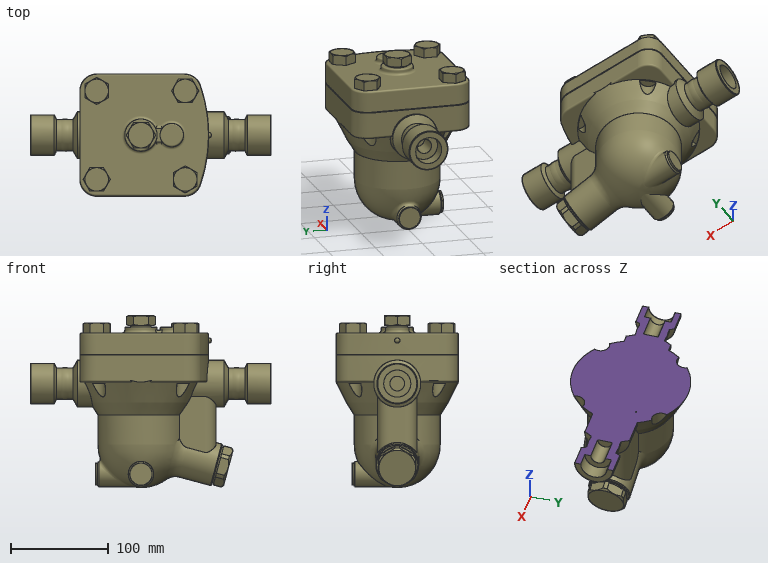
import cadquery as cq
import math


FLANGE_WIDTH = 125.0
FLANGE_HALF = FLANGE_WIDTH / 2
FLANGE_NOSE_X = 69.2
FLANGE_NOSE_RADIUS = 156.0
FLANGE_CORNER_RADIUS = 17.5
FLANGE_BOTTOM_Z = 1.4
FLANGE_EDGE_RADIUS = 2.0
GASKET_BOTTOM_Z = 29.1
GASKET_THICKNESS = 0.8
GASKET_INSET = 0.2
COVER_BOTTOM_Z = GASKET_BOTTOM_Z + GASKET_THICKNESS
COVER_TOP_Z = 51.7

POT_RADIUS = 44.0
POT_BOTTOM_Z = -106.3
DOME_CENTER_Z = POT_BOTTOM_Z + POT_RADIUS
CONE_BOTTOM_Z = -32.0
CONE_KINK_Z = -19.7
CONE_KINK_RADIUS = 51.8
CONE_TOP_Z = FLANGE_BOTTOM_Z + FLANGE_EDGE_RADIUS
CONE_TOP_RADIUS = 63.4

BOLT_PITCH = 90.4
BOLT_FLATS = 24.0
BOLT_TOP_Z = 62.0
SPOTFACE_RADIUS = 9.0
SPOTFACE_TOP_Z = 0.3
SPOTFACE_BOTTOM_Z = -30.0

COVER_BOSS_TOP_Z = 57.8
COVER_BOSS_BASE_FILLET = 3.0
COVER_BOSS_EDGE_RADIUS = 1.5
MAIN_BOSS_RADIUS = 33.0 / 2
SIDE_BOSS_RADIUS = 24.0 / 2
SIDE_BOSS_X = 31.5
BRIDGE_HALF_WIDTH = 7.0
PLUG_FLATS = 26.0
PLUG_TOP_Z = 69.4
PLUG_HEAD_HEIGHT = 10.1
PLUG_NECK_RADIUS = 21.0 / 2
HEX_HALF_ANGLE = math.radians(30)
HEX_CHAMFER_ANGLE = math.radians(30)

PIN_RADIUS = 2.7
PIN_Z = 44.0
PIN_TIP_X = 71.9
PIN_TIP_RADIUS = 2.4

PIPE_MIDDLE_X = 10.0
PIPE_HALF_LENGTH = 123.0
SOCKET_RADIUS = 41.5 / 2
SOCKET_EDGE = 0.8
SOCKET_SHOULDER = 98.6
SOCKET_NECK = 96.2
NECK_RADIUS = 32.0 / 2
RIDGE_RADIUS = 33.0 / 2
RIDGE_OUTER = 90.7
RIDGE_INNER = 84.0
BOSS_NECK = 79.4
BOSS_SHOULDER = 74.8
PIPE_BOSS_RADIUS = 48.0 / 2
SOCKET_BORE_RADIUS = 27.7 / 2
SOCKET_BORE_DEPTH = 15.0
PIPE_BORE_RADIUS = 15.0 / 2
PIPE_BORE_DEPTH = 40.0

RIB_END_X = 76.9
RIB_HALF_WIDTH = 20.0
RIB_CORNER_RADIUS = 12.0
RIB_BOTTOM_Z = -80.0

BRANCH_TILT_DEGREES = 15.0
BRANCH_RADIUS = 44.0 / 2
BRANCH_LENGTH = 80.4
BRANCH_EDGE = 1.0
BRANCH_FILLET = 16.0
CAP_SEAT_RADIUS = 38.0 / 2
CAP_BASE = 82.0
CAP_END = 92.4
CAP_FLATS = 38.0
CAP_TURNED_RADIUS = 41.5 / 2
CAP_CHAMFER = 2.0

DRAIN_Z = -92.5
DRAIN_RADIUS = 26.0 / 2
DRAIN_SHOULDER = 44.4
DRAIN_CHAMFER = 1.5
DRAIN_PLUG_RADIUS = 22.6 / 2
DRAIN_END = 46.2
DRAIN_FILLET = 3.0


def cylinder_z(radius, bottom, top, x=0.0, y=0.0):
    return cq.Workplane("XY").workplane(offset=bottom).center(x, y).circle(radius).extrude(top - bottom)


def flange_slab(bottom, top, inset=0.0):
    half = FLANGE_HALF - inset
    nose_radius = FLANGE_NOSE_RADIUS - inset
    nose_center_x = FLANGE_NOSE_X - FLANGE_NOSE_RADIUS
    corner_x = nose_center_x + math.sqrt(nose_radius**2 - half**2)
    outline = (
        cq.Workplane("XY")
        .workplane(offset=bottom)
        .moveTo(corner_x, -half)
        .threePointArc((FLANGE_NOSE_X - inset, 0), (corner_x, half))
        .lineTo(-half, half)
        .lineTo(-half, -half)
        .close()
    )
    return outline.extrude(top - bottom).edges("|Z").fillet(FLANGE_CORNER_RADIUS - inset)


def make_flanges():
    body = flange_slab(FLANGE_BOTTOM_Z, GASKET_BOTTOM_Z)
    body = body.faces("<Z").edges().fillet(FLANGE_EDGE_RADIUS)
    gasket = flange_slab(GASKET_BOTTOM_Z, COVER_BOTTOM_Z, GASKET_INSET)
    cover = flange_slab(COVER_BOTTOM_Z, COVER_TOP_Z)
    cover = cover.faces(">Z").edges().fillet(FLANGE_EDGE_RADIUS)
    return body.union(gasket).union(cover)


def make_pot():
    dome_side = POT_RADIUS * math.sqrt(0.5)
    profile = (
        cq.Workplane("XZ")
        .moveTo(0, POT_BOTTOM_Z)
        .threePointArc((dome_side, DOME_CENTER_Z - dome_side), (POT_RADIUS, DOME_CENTER_Z))
        .lineTo(POT_RADIUS, CONE_BOTTOM_Z)
        .lineTo(CONE_KINK_RADIUS, CONE_KINK_Z)
        .lineTo(CONE_TOP_RADIUS, CONE_TOP_Z)
        .lineTo(0, CONE_TOP_Z)
        .close()
    )
    pot = profile.revolve(360, (0, 0, 0), (0, 1, 0))
    return pot.intersect(flange_slab(POT_BOTTOM_Z, CONE_TOP_Z))


def bolt_places():
    half = BOLT_PITCH / 2
    return [(x, y) for x in (-half, half) for y in (-half, half)]


def cut_spotfaces(pot):
    for x, y in bolt_places():
        pot = pot.cut(cylinder_z(SPOTFACE_RADIUS, SPOTFACE_BOTTOM_Z, SPOTFACE_TOP_Z, x, y))
    return pot


def hex_head(flats, bottom, top, chamfer_bottom):
    """Hexagon head with its corners on X, its corner tips turned to a cone."""
    corner = flats / 2 / math.cos(HEX_HALF_ANGLE)
    tip = corner - flats / 2
    drop = tip * math.tan(HEX_CHAMFER_ANGLE)
    start = flats / 2 if chamfer_bottom else corner
    turned = (
        cq.Workplane("XZ")
        .moveTo(0, bottom)
        .lineTo(start, bottom)
        .lineTo(corner, bottom + drop)
        .lineTo(corner, top - drop)
        .lineTo(flats / 2, top)
        .lineTo(0, top)
        .close()
        .revolve(360, (0, 0, 0), (0, 1, 0))
    )
    prism = cq.Workplane("XY").workplane(offset=bottom).polygon(6, 2 * corner).extrude(top - bottom)
    return prism.intersect(turned)


def make_bolts():
    head = hex_head(BOLT_FLATS, COVER_TOP_Z, BOLT_TOP_Z, False)
    bolts = cq.Workplane("XY")
    for x, y in bolt_places():
        turn = 90 if x * y < 0 else 0
        bolts = bolts.add(head.rotate((0, 0, 0), (0, 0, 1), turn).translate((x, y, 0)))
    return bolts.combine()


def make_cover_boss(radius, x):
    """Round boss with a fillet at its base and a rounded top edge."""
    boss = cylinder_z(radius, COVER_TOP_Z, COVER_BOSS_TOP_Z, x)
    boss = boss.faces(">Z").edges().fillet(COVER_BOSS_EDGE_RADIUS)
    fillet = COVER_BOSS_BASE_FILLET
    dip = fillet * (1 - math.sqrt(0.5))
    flare = (
        cq.Workplane("XZ")
        .moveTo(0, COVER_TOP_Z)
        .lineTo(radius + fillet, COVER_TOP_Z)
        .threePointArc((radius + dip, COVER_TOP_Z + dip), (radius, COVER_TOP_Z + fillet))
        .lineTo(0, COVER_TOP_Z + fillet)
        .close()
        .revolve(360, (0, 0, 0), (0, 1, 0))
        .translate((x, 0, 0))
    )
    return boss.union(flare)


def make_bridge():
    """Low web between the two cover bosses, flared at its base like them."""
    fillet = COVER_BOSS_BASE_FILLET
    dip = fillet * (1 - math.sqrt(0.5))
    top = COVER_TOP_Z + fillet
    foot = BRIDGE_HALF_WIDTH + fillet
    return (
        cq.Workplane("YZ")
        .moveTo(-foot, COVER_TOP_Z)
        .threePointArc((-BRIDGE_HALF_WIDTH - dip, COVER_TOP_Z + dip), (-BRIDGE_HALF_WIDTH, top))
        .lineTo(BRIDGE_HALF_WIDTH, top)
        .threePointArc((BRIDGE_HALF_WIDTH + dip, COVER_TOP_Z + dip), (foot, COVER_TOP_Z))
        .close()
        .extrude(SIDE_BOSS_X)
    )


def make_cover_plug():
    head_bottom = PLUG_TOP_Z - PLUG_HEAD_HEIGHT
    neck = cylinder_z(PLUG_NECK_RADIUS, COVER_BOSS_TOP_Z, head_bottom)
    return neck.union(hex_head(PLUG_FLATS, head_bottom, PLUG_TOP_Z, True))


def make_pin():
    pin = cq.Workplane("YZ").center(0, PIN_Z).circle(PIN_RADIUS).extrude(PIN_TIP_X)
    return pin.faces(">X").edges().fillet(PIN_TIP_RADIUS)


def make_pipe_end():
    """Right-hand half of the pipe run, starting from its middle at X = 0."""
    ridge_middle = (RIDGE_OUTER + RIDGE_INNER) / 2
    profile = (
        cq.Workplane("XY")
        .lineTo(0, PIPE_BOSS_RADIUS)
        .lineTo(BOSS_SHOULDER, PIPE_BOSS_RADIUS)
        .lineTo(BOSS_NECK, NECK_RADIUS)
        .lineTo(RIDGE_INNER, NECK_RADIUS)
        .threePointArc((ridge_middle, RIDGE_RADIUS), (RIDGE_OUTER, NECK_RADIUS))
        .lineTo(SOCKET_NECK, NECK_RADIUS)
        .lineTo(SOCKET_SHOULDER, SOCKET_RADIUS)
        .lineTo(PIPE_HALF_LENGTH - SOCKET_EDGE, SOCKET_RADIUS)
        .lineTo(PIPE_HALF_LENGTH, SOCKET_RADIUS - SOCKET_EDGE)
        .lineTo(PIPE_HALF_LENGTH, 0)
        .close()
    )
    return profile.revolve(360, (0, 0, 0), (1, 0, 0))


def make_pipe_bore():
    end_plane = cq.Workplane("YZ").workplane(offset=PIPE_HALF_LENGTH)
    socket = end_plane.circle(SOCKET_BORE_RADIUS).extrude(-SOCKET_BORE_DEPTH)
    return socket.union(end_plane.circle(PIPE_BORE_RADIUS).extrude(-PIPE_BORE_DEPTH))


def on_both_ends(right_end):
    pair = right_end.union(right_end.mirror("YZ"))
    return pair.translate((PIPE_MIDDLE_X, 0, 0))


def make_rib():
    rib = cq.Workplane("XY").workplane(offset=RIB_BOTTOM_Z)
    rib = rib.center(RIB_END_X / 2, 0).rect(RIB_END_X, 2 * RIB_HALF_WIDTH).extrude(-RIB_BOTTOM_Z)
    return rib.edges("|Z and >X").fillet(RIB_CORNER_RADIUS)


def make_branch():
    """Branch along +X from the origin, then tilted down about the Y axis and set on the dome centre."""
    fillet_center_r = BRANCH_RADIUS + BRANCH_FILLET
    fillet_center_x = math.sqrt((POT_RADIUS + BRANCH_FILLET) ** 2 - fillet_center_r**2)
    dome_share = POT_RADIUS / (POT_RADIUS + BRANCH_FILLET)
    dome_angle = math.atan2(fillet_center_r, fillet_center_x)
    middle_angle = (dome_angle + math.pi / 2) / 2
    fillet_middle = (
        fillet_center_x - BRANCH_FILLET * math.cos(middle_angle),
        fillet_center_r - BRANCH_FILLET * math.sin(middle_angle),
    )
    stem = (
        cq.Workplane("XY")
        .lineTo(fillet_center_x * dome_share, fillet_center_r * dome_share)
        .threePointArc(fillet_middle, (fillet_center_x, BRANCH_RADIUS))
        .lineTo(BRANCH_LENGTH - BRANCH_EDGE, BRANCH_RADIUS)
        .lineTo(BRANCH_LENGTH, BRANCH_RADIUS - BRANCH_EDGE)
        .lineTo(BRANCH_LENGTH, CAP_SEAT_RADIUS)
        .lineTo(CAP_BASE, CAP_SEAT_RADIUS)
        .lineTo(CAP_BASE, 0)
        .close()
        .revolve(360, (0, 0, 0), (1, 0, 0))
    )
    cap_corner = CAP_FLATS / math.cos(HEX_HALF_ANGLE)
    cap_plane = cq.Workplane("YZ").workplane(offset=CAP_BASE)
    cap = cap_plane.polygon(6, cap_corner).extrude(CAP_END - CAP_BASE)
    cap = cap.rotate((0, 0, 0), (1, 0, 0), 90)
    turned = cap_plane.circle(CAP_TURNED_RADIUS).extrude(CAP_END - CAP_BASE)
    turned = turned.faces(">X").chamfer(CAP_CHAMFER)
    branch = stem.union(cap.intersect(turned))
    return branch.rotate((0, 0, 0), (0, 1, 0), BRANCH_TILT_DEGREES).translate((0, 0, DOME_CENTER_Z))


def make_drain():
    """Drain boss along -X from the pot axis, closed by a plug."""
    start = cq.Workplane("YZ").center(0, DRAIN_Z)
    boss = start.circle(DRAIN_RADIUS).extrude(-DRAIN_SHOULDER)
    boss = boss.faces("<X").chamfer(DRAIN_CHAMFER)
    return boss.union(start.circle(DRAIN_PLUG_RADIUS).extrude(-DRAIN_END))


def add_drains(pot):
    """One drain points to -X and is filleted to the dome; the other points to -Y."""
    drain = make_drain()
    pot = pot.union(drain)
    pot = pot.edges("%BSPLINE").fillet(DRAIN_FILLET)
    return pot.union(drain.rotate((0, 0, 0), (0, 0, 1), 90))


def make_body():
    body = cut_spotfaces(add_drains(make_pot()))
    body = body.union(make_branch())
    body = body.union(make_rib())
    body = body.union(make_flanges())
    body = body.union(on_both_ends(make_pipe_end()))
    return body.cut(on_both_ends(make_pipe_bore()))


def make_cover_fittings():
    """Bolts, bosses, plug and pin carried by the cover."""
    bosses = make_cover_boss(MAIN_BOSS_RADIUS, 0).union(make_cover_boss(SIDE_BOSS_RADIUS, SIDE_BOSS_X))
    fittings = make_bolts().union(bosses)
    return fittings.union(make_bridge()).union(make_cover_plug()).union(make_pin())


result = make_body().union(make_cover_fittings())